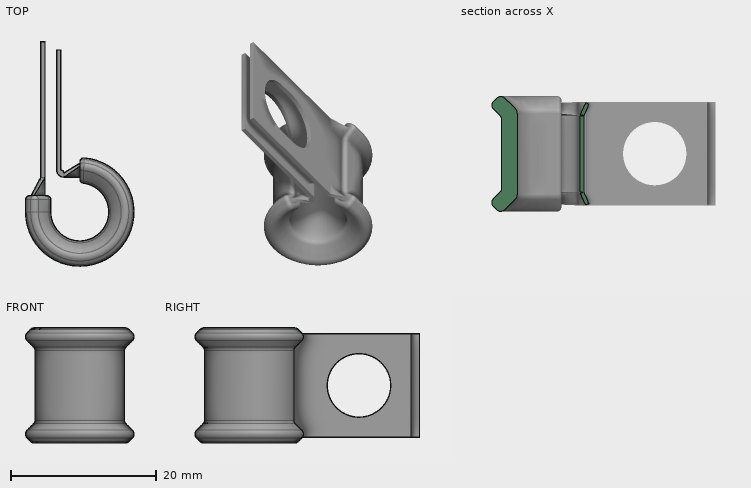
import cadquery as cq
import math


bore_radius = 3.97
wall = 2.2
body_radius = bore_radius + wall
flange_radius = 7.47
cushion_height = 15.87
half_height = cushion_height / 2
rim_round = 0.75
body_flare_radius = 0.6
bore_flare_radius = 1.0
wrap_angle = 270
straight_length = 2.25
end_round = 0.55

strip_thickness = 0.6
strip_width = 14.25
strip_inner = bore_radius + (wall - strip_thickness) / 2
strip_outer = strip_inner + strip_thickness
strip_root = 0.6
long_tab_end = 23.42
short_tab_end = 22.27
short_tab_x = -3.19
bend_inner_radius = 0.4
bend_outer_radius = bend_inner_radius + strip_thickness

ear_base = 5.25
ear_length = strip_width / 2 - ear_base
long_ear_start = strip_inner
short_ear_start = short_tab_x + bend_outer_radius

hole_y = 15.09
hole_diameter = 8.7
slot_length = 11.13

flare_angle = math.radians(45)
diagonal = math.sin(flare_angle)
half_flare_tangent = math.tan(flare_angle / 2)


def cushion_section():
    """Wall section on the XZ plane at positive X, flaring outward at 45 degrees at both ends."""
    rim_flat = (wall - 2 * rim_round) * diagonal
    rim_offset = rim_round * diagonal
    tip_x = flange_radius - rim_round
    top_x = tip_x - rim_flat
    top_z = half_height - rim_round
    tip_z = top_z - rim_flat

    bore_corner_z = top_z + rim_offset - (top_x - rim_offset - bore_radius)
    body_corner_z = tip_z - rim_offset - (tip_x + rim_offset - body_radius)
    bore_setback = bore_flare_radius * half_flare_tangent
    body_setback = body_flare_radius * half_flare_tangent

    upper = [
        (bore_radius, bore_corner_z - bore_setback),
        (bore_radius + bore_setback * diagonal, bore_corner_z + bore_setback * diagonal),
        (top_x - rim_offset, top_z + rim_offset),
        (top_x + rim_offset, top_z + rim_offset),
        (tip_x + rim_offset, tip_z + rim_offset),
        (tip_x + rim_offset, tip_z - rim_offset),
        (body_radius + body_setback * diagonal, body_corner_z + body_setback * diagonal),
        (body_radius, body_corner_z - body_setback),
    ]
    lower = [(x, -z) for x, z in reversed(upper)]
    outline = upper + lower

    section = cq.Workplane("XZ").moveTo(*outline[-1])
    for line_end, arc_end in zip(outline[0::2], outline[1::2]):
        section = section.lineTo(*line_end).tangentArcPoint(arc_end, relative=False)
    return section.close()


def make_cushion():
    """Three-quarter turn plus a straight run, with both cut ends rounded."""
    turn = cushion_section().revolve(wrap_angle, (0, 0, 0), (0, -1, 0))
    turn = turn.rotate((0, 0, 0), (0, 0, 1), 90)
    straight = cushion_section().extrude(-straight_length).mirror("YZ")
    mid_radius = bore_radius + wall / 2
    cushion = turn.union(straight)
    for end_centre in [(0, mid_radius, 0), (-mid_radius, straight_length, 0)]:
        end_face = cushion.faces(cq.NearestToPointSelector(end_centre))
        cushion = end_face.edges().fillet(end_round)
    return cushion


def block(x_range, y_range, height):
    """Box between two X and two Y limits, centred on the mid-plane."""
    x_size = x_range[1] - x_range[0]
    y_size = y_range[1] - y_range[0]
    plate = cq.Workplane("XY").box(x_size, y_size, height, centered=(False, False, True))
    return plate.translate((x_range[0], y_range[0], 0))


def make_ear(start, end):
    """Upper ear along +Y: a flat strip corner at Y = start that is folded outward at Y = end."""
    fold_rise = strip_thickness * half_flare_tangent
    reach = ear_length * diagonal
    edge = strip_thickness * diagonal
    flat = [
        (-strip_outer, ear_base),
        (-strip_inner, ear_base),
        (-strip_inner, ear_base + ear_length),
        (-strip_outer, ear_base + ear_length),
    ]
    outer_tip = (-strip_outer - reach, ear_base + reach)
    folded = [
        (-strip_outer, ear_base),
        (-strip_inner, ear_base + fold_rise),
        (outer_tip[0] + edge, outer_tip[1] + edge),
        outer_tip,
    ]
    flat_wire = cq.Wire.makePolygon([cq.Vector(x, start, z) for x, z in flat], close=True)
    folded_wire = cq.Wire.makePolygon([cq.Vector(x, end, z) for x, z in folded], close=True)
    return cq.Workplane(cq.Solid.makeLoft([flat_wire, folded_wire], True))


def add_ears(part, ear):
    """Join an upper ear and its mirror image below the mid-plane."""
    return part.union(ear).union(ear.mirror("XY"))


def make_long_tab():
    """Straight tab with the slot, rooted in the straight end of the cushion."""
    x_range = (-strip_outer, -strip_inner)
    tab = block(x_range, (long_ear_start, long_tab_end), strip_width)
    slot = (
        cq.Workplane("YZ", origin=(x_range[0], hole_y, 0))
        .slot2D(slot_length, hole_diameter)
        .extrude(strip_thickness)
    )
    neck = block(x_range, (straight_length - strip_root, long_ear_start), 2 * ear_base)
    return add_ears(tab.cut(slot).union(neck), make_ear(long_ear_start, straight_length))


def make_short_tab():
    """Bent tab with the round hole, rooted in the far end of the turn."""
    inner_x = short_tab_x + strip_thickness
    bend_start_y = strip_inner + bend_outer_radius
    tab = (
        cq.Workplane("XY", origin=(0, 0, -strip_width / 2))
        .moveTo(short_tab_x, short_tab_end)
        .lineTo(short_tab_x, bend_start_y)
        .tangentArcPoint((short_ear_start, strip_inner), relative=False)
        .lineTo(short_ear_start, strip_outer)
        .tangentArcPoint((inner_x, bend_start_y), relative=False)
        .lineTo(inner_x, short_tab_end)
        .close()
        .extrude(strip_width)
    )
    hole = (
        cq.Workplane("YZ", origin=(short_tab_x, hole_y, 0))
        .circle(hole_diameter / 2)
        .extrude(strip_thickness)
    )
    neck = block((short_ear_start, strip_root), (strip_inner, strip_outer), 2 * ear_base)
    ear = make_ear(short_ear_start, 0).rotate((0, 0, 0), (0, 0, 1), -90)
    return add_ears(tab.cut(hole).union(neck), ear)


result = make_cushion().union(make_long_tab()).union(make_short_tab())